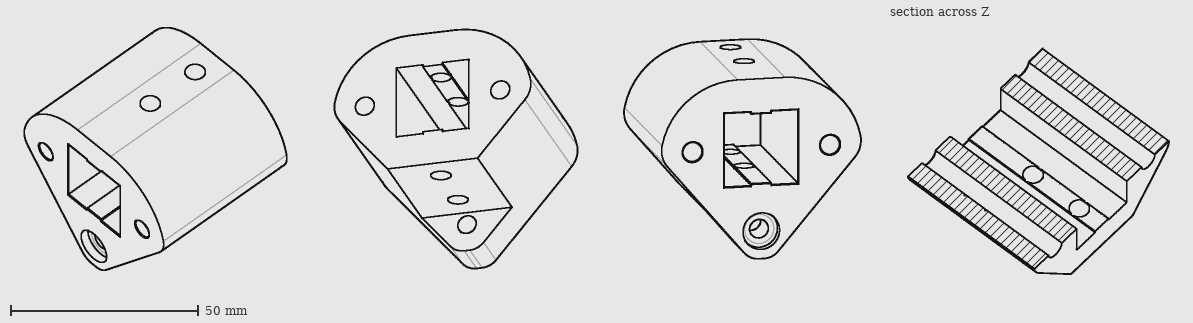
import cadquery as cq
import math

width = 54.6
length = 45.0
height = 49.4
half_window_block = 19.15
lug_thickness = 11.95

top_flat_width = 12.95
corner_radius = 7.0
corner_height = 0.8
tip_radius = 5.0
tip_flat_width = 1.55

window_size = 20.15
key_width = 5.4
key_height = 0.55
mouth_chamfer = 0.2

side_hole_diameter = 5.25
side_hole_spacing = 37.6
cross_hole_diameter = 5.45
first_cross_hole_y = 20.6
cross_hole_pitch = 16.4
lug_hole_diameter = 5.1
lug_hole_height = -22.65
counterbore_diameter = 10.0
counterbore_depth = 2.5
seat_diameter = 7.95
seat_cone_depth = 0.3

top = half_window_block
bottom = top - height
corner_x = width / 2 - corner_radius
tip_height = bottom + tip_radius
shoulder_x = top_flat_width / 2
tip_x = tip_flat_width / 2


def point_on_circle(center_x, center_z, radius, angle):
    return (center_x + radius * math.cos(angle), center_z + radius * math.sin(angle))


def mirrored(point):
    return (-point[0], point[1])


def extrude_back(profile, depth):
    """Extrude an XZ profile from the front face toward +Y."""
    return profile.extrude(-depth)


def make_body():
    offset_x = corner_x - shoulder_x
    drop = top - corner_height
    shoulder_radius = (offset_x**2 + drop**2 - corner_radius**2) / (2 * (drop - corner_radius))
    shoulder_z = top - shoulder_radius
    shoulder_end = math.atan2(corner_height - shoulder_z, offset_x)
    shoulder_mid = (math.pi / 2 + shoulder_end) / 2

    run = corner_x - tip_x
    rise = corner_height - tip_height
    flank_slope = math.atan2(rise, run)
    radius_tilt = math.asin((tip_radius - corner_radius) / math.hypot(run, rise))
    flank_normal = flank_slope - math.pi / 2 + radius_tilt

    shoulder_start = (shoulder_x, top)
    shoulder_middle = point_on_circle(shoulder_x, shoulder_z, shoulder_radius, shoulder_mid)
    corner_start = point_on_circle(corner_x, corner_height, corner_radius, shoulder_end)
    corner_middle = (width / 2, corner_height)
    corner_end = point_on_circle(corner_x, corner_height, corner_radius, flank_normal)
    tip_start = point_on_circle(tip_x, tip_height, tip_radius, flank_normal)
    tip_middle = point_on_circle(tip_x, tip_height, tip_radius, (flank_normal - math.pi / 2) / 2)
    tip_end = (tip_x, bottom)

    profile = (
        cq.Workplane("XZ")
        .moveTo(*mirrored(shoulder_start))
        .lineTo(*shoulder_start)
        .threePointArc(shoulder_middle, corner_start)
        .threePointArc(corner_middle, corner_end)
        .lineTo(*tip_start)
        .threePointArc(tip_middle, tip_end)
        .lineTo(*mirrored(tip_end))
        .threePointArc(mirrored(tip_middle), mirrored(tip_start))
        .lineTo(*mirrored(corner_end))
        .threePointArc(mirrored(corner_middle), mirrored(corner_start))
        .threePointArc(mirrored(shoulder_middle), mirrored(shoulder_start))
        .close()
    )
    return extrude_back(profile, length)


def make_rear_relief():
    """Space behind the lug, below the window block."""
    relief = cq.Workplane("XY").box(width, length - lug_thickness, height, centered=(True, False, False))
    return relief.translate((0, lug_thickness, -half_window_block - height))


def window_points(growth):
    """Keyed window outline, enlarged by growth except for the width of the keys."""
    half = window_size / 2 + growth
    key_x = key_width / 2
    key_z = half - key_height
    return [
        (-half, half), (-key_x, half), (-key_x, key_z), (key_x, key_z), (key_x, half), (half, half),
        (half, -half), (key_x, -half), (key_x, -key_z), (-key_x, -key_z), (-key_x, -half), (-half, -half),
    ]


def make_window():
    through = extrude_back(cq.Workplane("XZ").polyline(window_points(0)).close(), length)
    mouth = (
        cq.Workplane("XZ")
        .polyline(window_points(mouth_chamfer))
        .close()
        .workplane(offset=-mouth_chamfer)
        .polyline(window_points(0))
        .close()
        .loft(ruled=True)
    )
    return through.union(mouth)


def make_side_hole(x):
    radius = side_hole_diameter / 2
    hole = extrude_back(cq.Workplane("XZ").center(x, 0).circle(radius), length)
    mouth_outline = cq.Workplane("XZ").center(x, 0).circle(radius + mouth_chamfer)
    return hole.union(mouth_outline.extrude(-mouth_chamfer, taper=45))


def make_cross_hole(y):
    return cq.Workplane("XY").center(0, y).circle(cross_hole_diameter / 2).extrude(height, both=True)


def make_lug_hole():
    """Revolved cutter: counterbore, shallow cone, flat seat and through hole."""
    hole_radius = lug_hole_diameter / 2
    seat_depth = counterbore_depth + seat_cone_depth
    return (
        cq.Workplane("XY")
        .polyline([
            (0, 0),
            (counterbore_diameter / 2, 0),
            (counterbore_diameter / 2, counterbore_depth),
            (seat_diameter / 2, seat_depth),
            (hole_radius, seat_depth),
            (hole_radius, length),
            (0, length),
        ])
        .close()
        .revolve(360, (0, 0), (0, 1))
        .translate((0, 0, lug_hole_height))
    )


result = make_body().cut(make_rear_relief()).cut(make_window()).cut(make_lug_hole())
for side in (-1, 1):
    result = result.cut(make_side_hole(side * side_hole_spacing / 2))
for index in range(2):
    result = result.cut(make_cross_hole(first_cross_hole_y + index * cross_hole_pitch))